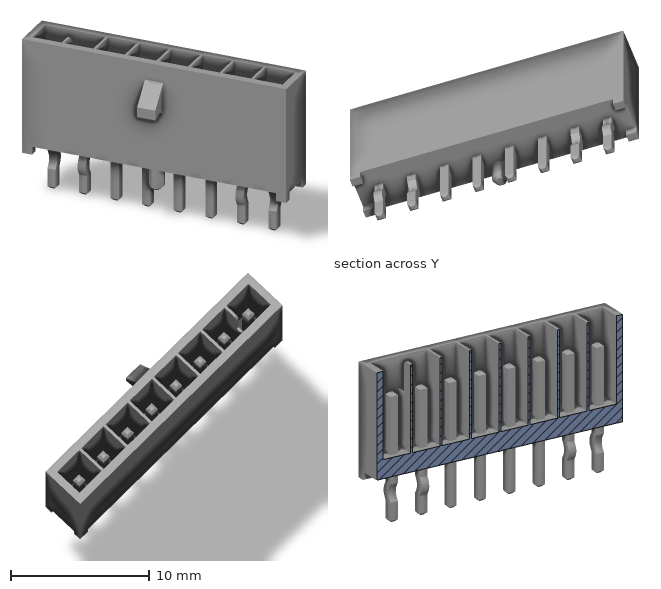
import cadquery as cq
import math

housing_length = 20.95
housing_width = 3.5
housing_height = 8.44
front_y = -housing_width / 2

foot_length = 0.8
foot_width = 0.6
foot_height = 0.63

pin_count = 8
pin_row_length = 17.5
pitch = pin_row_length / (pin_count - 1)
divider_thickness = 0.2
pocket_length = pitch - divider_thickness
pocket_width = 2.25
pocket_depth = 6.9

notch_width = 1.0
notch_depth = 2.51
notch_chamfer = 0.19

pin_size = 0.65
pin_y = -0.02
pin_chamfer = 0.19
pin_top_z = 6.28
pin_bottom_z = -3.81
kinks = {0: 1, 1: -1, pin_count - 2: -1, pin_count - 1: 1}
kink_top_z = -0.75
kink_height = 1.45
kink_flank_height = 0.25
kink_flank_offset = 0.15
kink_offset = 0.27

peg_radius = 0.6
peg_centre_setback = 0.42
peg_flat_width = 0.45
peg_length = 1.63
peg_chamfer = 0.31
peg_root_fillet = 0.1

latch_width = 1.45
latch_projection = 1.38
latch_top_drop = 1.36
latch_ramp_end_drop = 3.0
latch_tip_drop = 3.77
latch_root_drop = 4.08
latch_hollow_mid = (0.27, 3.65)
latch_hollow_end = (0.75, 3.54)


def pin_x(index):
    return -pin_row_length / 2 + index * pitch


def box(length, width, bottom_z, top_z, x=0.0, y=0.0):
    """Upright block centred on (x, y) between two heights."""
    block = cq.Workplane("XY").box(length, width, top_z - bottom_z, centered=(True, True, False))
    return block.translate((x, y, bottom_z))


def make_housing():
    housing = box(housing_length, housing_width, 0, housing_height)
    foot_x = (housing_length - foot_length) / 2
    foot_y = (housing_width - foot_width) / 2
    for x in (-foot_x, foot_x):
        for y in (-foot_y, foot_y):
            housing = housing.union(box(foot_length, foot_width, -foot_height, 0, x, y))
    floor_z = housing_height - pocket_depth
    for index in range(pin_count):
        pocket = box(pocket_length, pocket_width, floor_z, housing_height, pin_x(index))
        housing = housing.cut(pocket)
    return housing.cut(make_divider_notch())


def make_divider_notch():
    """Cutter for the divider, with a chamfer where the notch meets the full-height part."""
    back_y = pocket_width / 2
    step_y = back_y - notch_width
    outline = [
        (back_y, housing_height),
        (step_y - notch_chamfer, housing_height),
        (step_y, housing_height - notch_chamfer),
        (step_y, housing_height - notch_depth),
        (back_y, housing_height - notch_depth),
    ]
    notch = cq.Workplane("YZ").polyline(outline).close().extrude(divider_thickness / 2, both=True)
    return notch.translate((pin_x(0) + pitch / 2, 0, 0))


def make_pin(kink_direction):
    """Pin on the Z axis; a direction of +1 or -1 kinks it along Y and 0 leaves it straight."""
    pin = box(pin_size, pin_size, pin_bottom_z, pin_top_z)
    pin = pin.faces("<Z or >Z").chamfer(pin_chamfer)
    if kink_direction == 0:
        return pin
    kink_bottom_z = kink_top_z - kink_height
    kink_middle_z = kink_top_z - kink_height / 2
    pin = pin.cut(box(pin_size, pin_size, kink_bottom_z, kink_top_z))
    flank_y = kink_direction * kink_flank_offset
    crest_y = kink_direction * kink_offset
    half = pin_size / 2
    kink = (
        cq.Workplane("YZ")
        .moveTo(half, kink_top_z)
        .lineTo(half + flank_y, kink_top_z - kink_flank_height)
        .threePointArc(
            (half + crest_y, kink_middle_z),
            (half + flank_y, kink_bottom_z + kink_flank_height),
        )
        .lineTo(half, kink_bottom_z)
        .lineTo(-half, kink_bottom_z)
        .lineTo(-half + flank_y, kink_bottom_z + kink_flank_height)
        .threePointArc(
            (-half + crest_y, kink_middle_z),
            (-half + flank_y, kink_top_z - kink_flank_height),
        )
        .lineTo(-half, kink_top_z)
        .close()
        .extrude(half, both=True)
    )
    return pin.union(kink)


def make_peg():
    """Peg with a conical lead-in around its round profile, cut by the tapered front."""
    centre_y = front_y + peg_centre_setback
    flat_half = peg_flat_width / 2
    column = (
        cq.Workplane("XY")
        .moveTo(-flat_half, front_y)
        .lineTo(flat_half, front_y)
        .lineTo(peg_radius, centre_y)
        .threePointArc((0, centre_y + peg_radius), (-peg_radius, centre_y))
        .close()
        .extrude(-peg_length)
    )
    lead_in = (
        cq.Workplane("XY")
        .center(0, centre_y)
        .circle(peg_radius)
        .extrude(-peg_length)
        .faces("<Z")
        .chamfer(peg_chamfer)
    )
    return column.intersect(lead_in).union(make_peg_root(centre_y))


def make_peg_root(centre_y):
    """Concave fillet around the round back half of the peg, where it meets the housing."""
    outer_radius = peg_radius + peg_root_fillet
    arc_reach = peg_root_fillet * (1 - math.sqrt(0.5))
    root = (
        cq.Workplane("XZ")
        .moveTo(peg_radius - peg_root_fillet, 0)
        .lineTo(outer_radius, 0)
        .threePointArc((peg_radius + arc_reach, -arc_reach), (peg_radius, -peg_root_fillet))
        .lineTo(peg_radius - peg_root_fillet, -peg_root_fillet)
        .close()
        .revolve(180, (0, 0, 0), (0, 1, 0))
    )
    return root.translate((0, centre_y, 0))


def make_latch():
    def profile_point(projection, drop):
        return (front_y - projection, housing_height - drop)

    return (
        cq.Workplane("YZ")
        .moveTo(*profile_point(0, latch_top_drop))
        .lineTo(*profile_point(latch_projection, latch_ramp_end_drop))
        .lineTo(*profile_point(latch_projection, latch_tip_drop))
        .lineTo(*profile_point(*latch_hollow_end))
        .threePointArc(profile_point(*latch_hollow_mid), profile_point(0, latch_root_drop))
        .close()
        .extrude(latch_width / 2, both=True)
    )


result = make_housing().union(make_latch()).union(make_peg())
for pin_index in range(pin_count):
    pin_body = make_pin(kinks.get(pin_index, 0))
    result = result.union(pin_body.translate((pin_x(pin_index), pin_y, 0)))